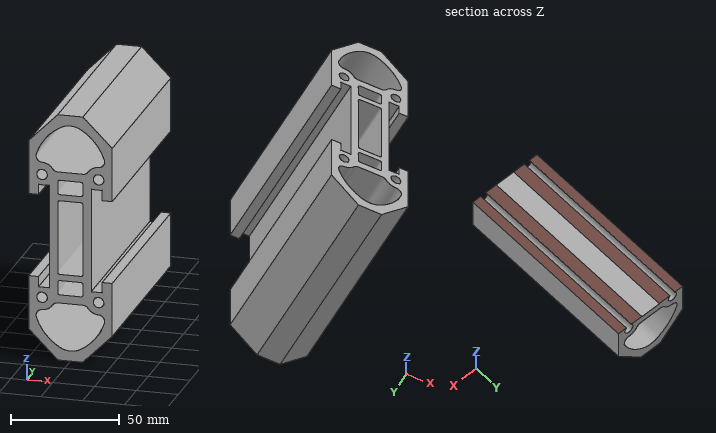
import math

import cadquery as cq

width = 40.0
length = 100.0
height = 120.0
half_width = width / 2
half_height = height / 2

bevel = 14.0
web_half_width = 10.0
lip_thickness = 4.8
lip_depth = 40.0
slot_depth = 35.0

web_wall = 4.0
window_width = 2 * (web_half_width - web_wall)
window_corner_radius = 1.0
small_window_start = 32.0
small_window_end = 39.0
rib_thickness = 3.0

screw_diameter = 5.0
screw_x = 13.5
screw_z = half_height - 30.0
screw_boss_radius = 6.0

crown_wall = 5.0
crown_radius = 10.0
flank_radius = 25.0
flank_center_x = -7.5
corner_radius = 3.0
floor_depth = small_window_start - web_wall
floor_fillet_radius = 3.0


def point_along(start, end, distance):
    """Point at a distance from start on the line towards end."""
    share = distance / math.dist(start, end)
    return (start[0] + share * (end[0] - start[0]), start[1] + share * (end[1] - start[1]))


def arc_middle(center, radius, start, end):
    """Middle point of the shorter arc from start to end about center."""
    chord_middle = ((start[0] + end[0]) / 2, (start[1] + end[1]) / 2)
    return point_along(center, chord_middle, radius)


def circle_crossing(center_a, radius_a, center_b, radius_b):
    """Crossing of two circles that lies to the left when going from center_a to center_b."""
    gap = math.dist(center_a, center_b)
    along = (radius_a**2 - radius_b**2 + gap**2) / (2 * gap)
    across = math.sqrt(radius_a**2 - along**2)
    unit_x = (center_b[0] - center_a[0]) / gap
    unit_z = (center_b[1] - center_a[1]) / gap
    return (
        center_a[0] + along * unit_x - across * unit_z,
        center_a[1] + along * unit_z + across * unit_x,
    )


def mirror_x(point):
    return (-point[0], point[1])


def extrude_profile(sketch):
    """Extrude an XZ sketch over the full length, centred on Y = 0."""
    return sketch.extrude(length / 2, both=True)


def outer_body():
    """Solid bar with bevelled heads and open slots on both sides of the web."""
    lip_inner_x = half_width - lip_thickness
    lip_tip_z = half_height - lip_depth
    slot_floor_z = half_height - slot_depth
    upper_right = [
        (web_half_width, slot_floor_z),
        (lip_inner_x, slot_floor_z),
        (lip_inner_x, lip_tip_z),
        (half_width, lip_tip_z),
        (half_width, half_height - bevel),
        (half_width - bevel, half_height),
    ]
    upper_left = [mirror_x(point) for point in reversed(upper_right)]
    upper = upper_right + upper_left
    lower = [(-x, -z) for x, z in upper]
    return extrude_profile(cq.Workplane("XZ").polyline(upper + lower).close())


def head_cavity():
    """Rounded hollow of the upper head."""
    crown_center = (0.0, half_height - crown_wall - crown_radius)
    center_drop = math.sqrt((flank_radius - crown_radius) ** 2 - flank_center_x**2)
    flank_center = (flank_center_x, crown_center[1] - center_drop)
    boss_center = (screw_x, screw_z)
    corner_center = circle_crossing(
        flank_center,
        flank_radius - corner_radius,
        boss_center,
        screw_boss_radius + corner_radius,
    )
    floor_z = half_height - floor_depth
    fillet_z = floor_z + floor_fillet_radius
    fillet_reach = screw_boss_radius + floor_fillet_radius
    fillet_x = screw_x - math.sqrt(fillet_reach**2 - (fillet_z - screw_z) ** 2)
    fillet_center = (fillet_x, fillet_z)

    crown_end = point_along(flank_center, crown_center, flank_radius)
    flank_end = point_along(flank_center, corner_center, flank_radius)
    corner_end = point_along(corner_center, boss_center, corner_radius)
    boss_end = point_along(boss_center, fillet_center, screw_boss_radius)
    floor_end = (fillet_x, floor_z)
    right_side = [crown_end, flank_end, corner_end, boss_end, floor_end]
    side_arcs = [
        (flank_center, flank_radius),
        (corner_center, corner_radius),
        (boss_center, screw_boss_radius),
        (fillet_center, floor_fillet_radius),
    ]
    middles = [
        arc_middle(center, radius, start, end)
        for (center, radius), start, end in zip(side_arcs, right_side, right_side[1:])
    ]

    crown_top = (0.0, half_height - crown_wall)
    sketch = cq.Workplane("XZ").moveTo(*mirror_x(crown_end)).threePointArc(crown_top, crown_end)
    for middle, end in zip(middles, right_side[1:]):
        sketch = sketch.threePointArc(middle, end)
    sketch = sketch.lineTo(*mirror_x(floor_end))
    for middle, end in zip(reversed(middles), reversed(right_side[:-1])):
        sketch = sketch.threePointArc(mirror_x(middle), mirror_x(end))
    return extrude_profile(sketch.close())


def window(bottom_z, top_z):
    """Rectangular passage through the web with rounded corners."""
    sketch = cq.Workplane("XZ").center(0, (bottom_z + top_z) / 2).rect(window_width, top_z - bottom_z)
    return extrude_profile(sketch).edges("|Y").fillet(window_corner_radius)


def screw_holes():
    """Four holes that run the full length."""
    places = [(x, z) for x in (-screw_x, screw_x) for z in (-screw_z, screw_z)]
    return extrude_profile(cq.Workplane("XZ").pushPoints(places).circle(screw_diameter / 2))


small_window_top = half_height - small_window_start
small_window_bottom = half_height - small_window_end
large_window_top = small_window_bottom - rib_thickness
upper_hollows = [head_cavity(), window(small_window_bottom, small_window_top)]

result = outer_body().cut(screw_holes()).cut(window(-large_window_top, large_window_top))
for hollow in upper_hollows:
    result = result.cut(hollow).cut(hollow.mirror("XY"))